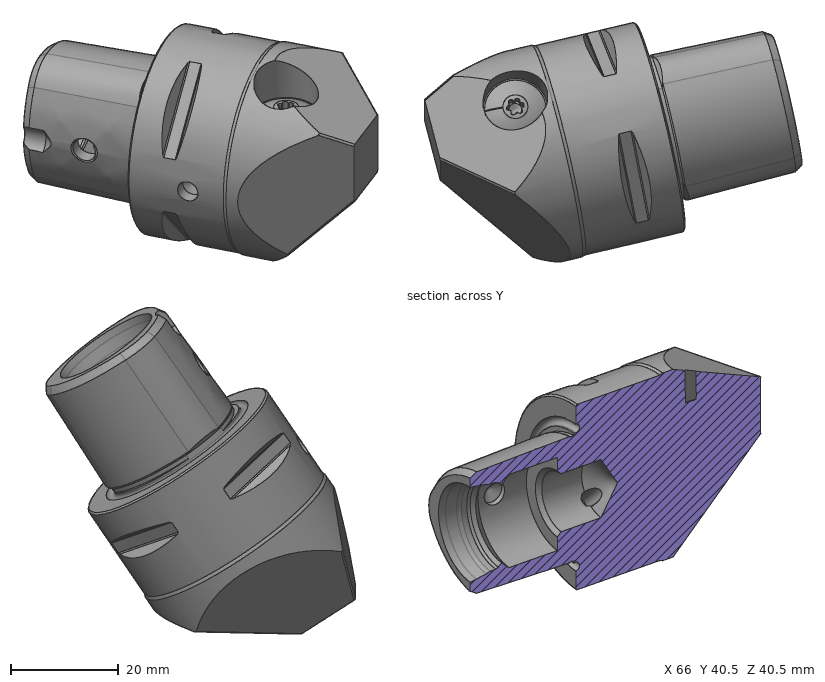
import cadquery as cq
import math

length = 66.0
drill_half_angle = math.radians(59)

shank_end = 22.45
lobe_radius = 14.8
flat_radius = 13.15
corner_radius = 14.25
corner_angle = 15.8
taper_per_length = 1 / 40
tip_chamfer_length = 1.45
tip_chamfer_depth = 0.9

neck_start = 22.8
neck_inset = 0.1
neck_radius = 14.0
collar_start = 23.55

flange_start = 23.95
flange_radius = 20.0
flange_chamfer = 0.3
groove_outer_radius = 15.8

head_start = 43.7
head_step_length = 0.65
head_radius = 20.23
steep_angle = math.radians(45)
shallow_angle = math.radians(22.5)
steep_reach = 0.3
shallow_reach = 11.95
slope_edge_chamfer = 0.3

mouth_radius = 10.15
mouth_taper_start = 1.45
mouth_taper_radius = 9.95
mouth_taper_end = 3.7
mouth_taper_end_radius = 9.6
throat_land_start = 4.55
throat_land_end = 5.8
throat_land_radius = 9.3
throat_shoulder_start = 6.4
throat_shoulder_radius = 9.05
throat_end = 7.1
throat_radius = 8.3
undercut_radius = 9.95
undercut_start = 8.85
bore_floor = 19.8
tap_chamfer_radius = 7.05
tap_radius = 6.2
tap_end = 29.7

channel_diameter = 3.0
channel_x = 29.95
channel_start_radius = 3.3
channel_length = 7.25
channel_angles = (45, 225)

cross_hole_x = 12.55
cross_hole_diameter = 4.6
cross_hole_mouth_diameter = 5.35
cross_hole_far_end = 10.9
key_notch_diameter = 5.2
key_notch_length = 4.2
key_notch_y = -13.6
key_notch_half_angle = math.radians(45)
mark_hole_x = 36.0
mark_hole_diameter = 4.0
mark_hole_depth = 2.65

slot_x = 32.0
slot_floor_distance = 17.6
slot_floor_width = 2.25
slot_corner_width = 0.25
slot_corner_height = 0.2
slot_mouth_width = 5.1
slot_angles = (45, 135, 225, 315)

nozzle_x = 50.1
nozzle_y = -5.9
pocket_diameter = 12.0
pocket_floor_z = 12.0
nozzle_diameter = 11.4
nozzle_height = 4.0
seat_floor_z = pocket_floor_z - nozzle_height
dome_sphere_radius = 9.95
slit_width = 0.2
slit_angle = -10
screw_diameter = 4.6
socket_diameter = 3.3
socket_core_diameter = 2.4
socket_lobe_diameter = 1.0
socket_lobe_count = 6
socket_floor_z = 11.9


def polar(radius, degrees):
    angle = math.radians(degrees)
    return (radius * math.cos(angle), radius * math.sin(angle))


def turned(points):
    """Revolve a profile of (x, radius) points around the X axis."""
    return cq.Workplane("XY").polyline(points).close().revolve(360, (0, 0, 0), (1, 0, 0))


def drill(start, direction, diameter, depth, half_angle=drill_half_angle):
    """Hole of full diameter down to depth, ending in a drill point."""
    radius = diameter / 2
    point_length = radius / math.tan(half_angle)
    axis = cq.Vector(*direction)
    barrel = cq.Solid.makeCylinder(radius, depth, cq.Vector(*start), axis)
    point = cq.Solid.makeCone(radius, 0, point_length, cq.Vector(*start) + axis * depth, axis)
    return cq.Workplane(barrel).union(cq.Workplane(point))


def trilobe(x, inset):
    """Three lobes and three flats joined as arcs, drawn in YZ with one lobe towards +Y."""
    outline = cq.Workplane("YZ", origin=(x, 0, 0)).moveTo(*polar(corner_radius - inset, -corner_angle))
    for lobe in range(3):
        middle = 120 * lobe
        outline = outline.threePointArc(
            polar(lobe_radius - inset, middle), polar(corner_radius - inset, middle + corner_angle)
        )
        outline = outline.threePointArc(
            polar(flat_radius - inset, middle + 60), polar(corner_radius - inset, middle + 120 - corner_angle)
        )
    return outline.close().val()


def loft(start_wire, end_wire):
    return cq.Workplane(cq.Solid.makeLoft([start_wire, end_wire], True))


def make_shank():
    """Chamfered tip, tapered shank and neck, the lobes turned down to the neck radius."""
    taper_inset = taper_per_length * (shank_end - tip_chamfer_length)
    chamfer_edge = trilobe(tip_chamfer_length, taper_inset)
    tip = loft(trilobe(0, taper_inset + tip_chamfer_depth), chamfer_edge)
    taper = loft(chamfer_edge, trilobe(shank_end, 0))
    step = loft(trilobe(shank_end, 0), trilobe(neck_start, neck_inset))
    neck = loft(trilobe(neck_start, neck_inset), trilobe(collar_start, neck_inset))
    relief = turned(
        [
            (0, 0),
            (0, neck_radius + neck_start),
            (neck_start, neck_radius),
            (collar_start, neck_radius),
            (collar_start, 0),
        ]
    )
    return tip.union(taper).union(step).union(neck).intersect(relief)


def make_flange_and_head():
    """Turned collar, flange and head, with a round groove in the flange face around the neck."""
    body = turned(
        [
            (collar_start, 0),
            (collar_start, neck_radius),
            (flange_start, neck_radius),
            (flange_start, flange_radius - flange_chamfer),
            (flange_start + flange_chamfer, flange_radius),
            (head_start - head_step_length, flange_radius),
            (head_start, head_radius),
            (length, head_radius),
            (length, 0),
        ]
    )
    groove_radius = (groove_outer_radius - neck_radius) / 2
    groove = (
        cq.Workplane("XY")
        .moveTo(flange_start, neck_radius)
        .threePointArc(
            (flange_start + groove_radius, neck_radius + groove_radius), (flange_start, groove_outer_radius)
        )
        .close()
        .revolve(360, (0, 0, 0), (1, 0, 0))
    )
    return body.cut(groove)


def sloped_envelope():
    """Wedge with four sloping sides that shapes the head, its long edges chamfered."""
    run = length - collar_start
    steep_start = steep_reach + run * math.tan(steep_angle)
    shallow_start = shallow_reach + run * math.tan(shallow_angle)

    def rectangle(x, steep, shallow):
        middle = (steep - shallow) / 2
        return (
            cq.Workplane("YZ", origin=(x, middle, -middle)).rect(steep + shallow, steep + shallow).wires().val()
        )

    wedge = loft(
        rectangle(collar_start, steep_start, shallow_start), rectangle(length, steep_reach, shallow_reach)
    )
    return wedge.edges("not(|Y or |Z)").chamfer(slope_edge_chamfer)


def clamping_bore():
    """Stepped bore from the shank tip, ending in a drill point."""
    return turned(
        [
            (0, 0),
            (0, mouth_radius),
            (mouth_taper_start, mouth_taper_radius),
            (mouth_taper_end, mouth_taper_end_radius),
            (throat_land_start, throat_land_radius),
            (throat_land_end, throat_land_radius),
            (throat_shoulder_start, throat_shoulder_radius),
            (throat_end, throat_radius),
            (undercut_start, undercut_radius),
            (bore_floor, undercut_radius),
            (bore_floor, tap_chamfer_radius),
            (bore_floor + tap_chamfer_radius - tap_radius, tap_radius),
            (tap_end, tap_radius),
            (tap_end + tap_radius / math.tan(drill_half_angle), 0),
        ]
    )


def coolant_channel(angle):
    """Radial channel out of the bore's conical end, at this angle around X from +Z."""
    return (
        cq.Workplane("XY", origin=(channel_x, 0, channel_start_radius))
        .circle(channel_diameter / 2)
        .extrude(channel_length)
        .rotate((0, 0, 0), (1, 0, 0), angle)
    )


def gripper_slot(angle):
    """Straight slot with sloping walls across the flange, at this angle around X from +Z."""
    half_floor = slot_floor_width / 2
    half_corner = half_floor + slot_corner_width
    half_mouth = slot_mouth_width / 2
    corner_distance = slot_floor_distance + slot_corner_height
    right_side = [
        (half_floor, slot_floor_distance),
        (half_corner, corner_distance),
        (half_mouth, flange_radius),
        (half_mouth, head_radius),
    ]
    left_side = [(-across, distance) for across, distance in reversed(right_side)]
    return (
        cq.Workplane("XZ", origin=(slot_x, 0, 0))
        .polyline(right_side + left_side)
        .close()
        .extrude(flange_radius, both=True)
        .rotate((0, 0, 0), (1, 0, 0), angle)
    )


def cross_hole():
    """Drilled from -Y through the bore and partly into the far wall, countersunk where it starts."""
    hole = drill(
        (cross_hole_x, -flange_radius, 0), (0, 1, 0), cross_hole_diameter, flange_radius + cross_hole_far_end
    )
    shank_surface = flat_radius - taper_per_length * (shank_end - cross_hole_x)
    countersink_radius = cross_hole_mouth_diameter / 2
    countersink = cq.Solid.makeCone(
        countersink_radius,
        0,
        countersink_radius,
        cq.Vector(cross_hole_x, -shank_surface, 0),
        cq.Vector(0, 1, 0),
    )
    return hole.union(cq.Workplane(countersink))


def key_notch():
    return drill(
        (0, key_notch_y, 0), (1, 0, 0), key_notch_diameter, key_notch_length, key_notch_half_angle
    )


def mark_hole():
    return drill((mark_hole_x, -flange_radius, 0), (0, 1, 0), mark_hole_diameter, mark_hole_depth)


def nozzle_cylinder(diameter, bottom_z, height):
    return cq.Workplane("XY", origin=(nozzle_x, nozzle_y, bottom_z)).circle(diameter / 2).extrude(height)


def nozzle_seat():
    pocket = nozzle_cylinder(pocket_diameter, pocket_floor_z, head_radius)
    return pocket.union(nozzle_cylinder(nozzle_diameter, seat_floor_z, nozzle_height))


def make_holder():
    head = make_flange_and_head().intersect(sloped_envelope())
    holder = make_shank().union(head).cut(clamping_bore())
    for angle in channel_angles:
        holder = holder.cut(coolant_channel(angle))
    for angle in slot_angles:
        holder = holder.cut(gripper_slot(angle))
    return holder.cut(cross_hole()).cut(key_notch()).cut(mark_hole()).cut(nozzle_seat())


def dome():
    """Short cylinder with a spherical top that fills the seat."""
    sphere_z = pocket_floor_z - math.sqrt(dome_sphere_radius**2 - (nozzle_diameter / 2) ** 2)
    ball = cq.Workplane("XY", origin=(nozzle_x, nozzle_y, sphere_z)).sphere(dome_sphere_radius)
    cylinder = nozzle_cylinder(nozzle_diameter, seat_floor_z, nozzle_height + dome_sphere_radius)
    return cylinder.intersect(ball)


def make_dome_ring():
    """Domed ring around the screw, slit on one side."""
    slit = (
        cq.Workplane("XY", origin=(nozzle_x, nozzle_y, seat_floor_z))
        .rect(nozzle_diameter, slit_width)
        .extrude(dome_sphere_radius)
        .translate((nozzle_diameter / 2, 0, 0))
        .rotate((nozzle_x, nozzle_y, 0), (nozzle_x, nozzle_y, 1), slit_angle)
    )
    return dome().cut(nozzle_cylinder(screw_diameter, seat_floor_z, dome_sphere_radius)).cut(slit)


def make_screw():
    """Screw with a six-lobed socket in its domed top."""
    screw = dome().intersect(nozzle_cylinder(screw_diameter, seat_floor_z, dome_sphere_radius))
    lobes = (
        cq.Workplane("XY", origin=(nozzle_x, nozzle_y, socket_floor_z))
        .polarArray((socket_diameter - socket_lobe_diameter) / 2, 0, 360, socket_lobe_count)
        .circle(socket_lobe_diameter / 2)
        .extrude(dome_sphere_radius)
    )
    core_top = (nozzle_x, nozzle_y, socket_floor_z + dome_sphere_radius)
    core = drill(core_top, (0, 0, -1), socket_core_diameter, dome_sphere_radius)
    return screw.cut(lobes).cut(core)


holder = make_holder()
dome_ring = make_dome_ring()
screw = make_screw()
result = cq.Compound.makeCompound([holder.val(), dome_ring.val(), screw.val()])